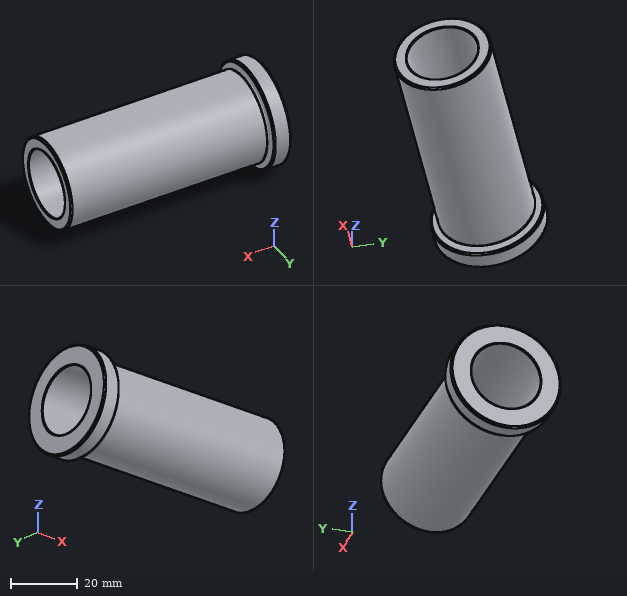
import cadquery as cq

total_length = 75.0
flange_diameter = 35.0
flange_thickness = 6.0
body_diameter = 30.0
bore_diameter = 22.0

edge_chamfer = 0.5
bore_chamfer = 0.2
relief_width = 1.0
relief_depth = 0.5
lead_length = 4.0

flange_radius = flange_diameter / 2
body_radius = body_diameter / 2
bore_radius = bore_diameter / 2


def flanged_sleeve():
    """Revolve the sleeve section, drawn as (axial position, radius)."""
    relief_end = flange_thickness + relief_width
    relief_middle = flange_thickness + relief_width / 2
    section = (
        cq.Workplane("XY")
        .moveTo(0, bore_radius + bore_chamfer)
        .lineTo(0, flange_radius - edge_chamfer)
        .lineTo(edge_chamfer, flange_radius)
        .lineTo(flange_thickness - edge_chamfer, flange_radius)
        .lineTo(flange_thickness, flange_radius - edge_chamfer)
        .lineTo(flange_thickness, body_radius)
        .threePointArc((relief_middle, body_radius - relief_depth), (relief_end, body_radius))
        .lineTo(total_length - lead_length, body_radius)
        .lineTo(total_length - edge_chamfer, body_radius)
        .lineTo(total_length, body_radius - edge_chamfer)
        .lineTo(total_length, bore_radius + bore_chamfer)
        .lineTo(total_length - bore_chamfer, bore_radius)
        .lineTo(bore_chamfer, bore_radius)
        .close()
    )
    return section.revolve(360, (0, 0, 0), (1, 0, 0), clean=False)


result = flanged_sleeve()